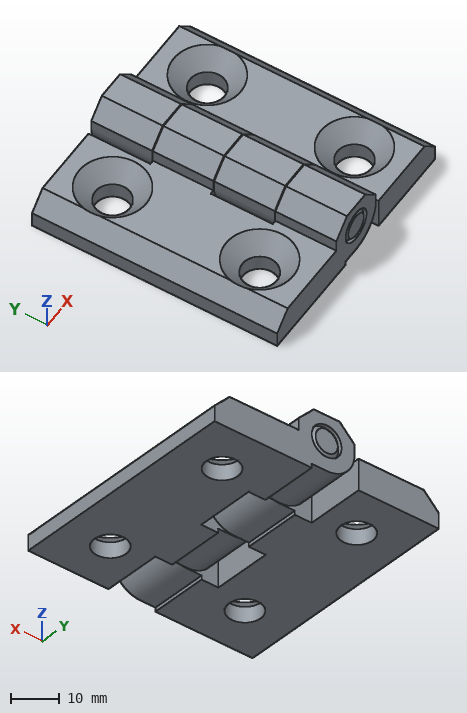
import cadquery as cq

side = 60.0
height = 15.0
half = side / 2

plate_height = 8.0
edge_chamfer = 4.0
plate_gap = 1.0

knuckle_radius = 7.5
relief_half_width = 4.0
relief_height = 1.0
axis_z = relief_height + knuckle_radius
plate_edge = knuckle_radius + plate_gap
pitch = side / 4
end_gap = 0.2

pin_diameter = 8.0
pin_chamfer = 1.0

hole_spacing = 36.0
hole_diameter = 8.4
sink_diameter = 16.45
sink_angle = 90.0


def plate():
    """Plate on the -X side, with a sloped outer edge."""
    return (
        cq.Workplane("XZ", origin=(0, half, 0))
        .moveTo(-half, 0)
        .lineTo(-plate_edge, 0)
        .lineTo(-plate_edge, plate_height)
        .lineTo(-half + edge_chamfer, plate_height)
        .lineTo(-half, plate_height - edge_chamfer)
        .close()
        .extrude(side)
    )


def knuckle(y_start, y_end):
    """Knuckle with a chamfered top, a round underside and a web to the plate."""
    shoulder_z = height - edge_chamfer
    top_half_width = knuckle_radius - edge_chamfer
    return (
        cq.Workplane("XZ", origin=(0, y_end, 0))
        .moveTo(-plate_edge, 0)
        .lineTo(-relief_half_width, 0)
        .lineTo(-relief_half_width, relief_height)
        .lineTo(0, relief_height)
        .radiusArc((knuckle_radius, axis_z), -knuckle_radius)
        .lineTo(knuckle_radius, shoulder_z)
        .lineTo(top_half_width, height)
        .lineTo(-top_half_width, height)
        .lineTo(-knuckle_radius, shoulder_z)
        .lineTo(-knuckle_radius, plate_height)
        .lineTo(-plate_edge, plate_height)
        .close()
        .extrude(y_end - y_start)
    )


def leaf():
    """Leaf on the -X side, with knuckles in the first and third of four places."""
    first_end = -pitch - end_gap / 2
    third_start = end_gap / 2
    third_end = pitch - end_gap / 2
    body = plate()
    for y_start, y_end in [(-half, first_end), (third_start, third_end)]:
        body = body.union(knuckle(y_start, y_end))
    return (
        body.copyWorkplane(cq.Workplane("XY", origin=(-hole_spacing / 2, 0, plate_height)))
        .rarray(0.6, hole_spacing, 1, 2)
        .cskHole(hole_diameter, sink_diameter, sink_angle)
    )


def axis_cylinder():
    """Full-length cylinder of the pin's diameter on the knuckle axis."""
    return cq.Workplane("XZ", origin=(0, half, axis_z)).circle(pin_diameter / 2).extrude(side)


def pin_leaf():
    """Leaf whose pin has chamfered ends flush with the outer knuckle faces."""
    pin = axis_cylinder().faces("<Y or >Y").chamfer(pin_chamfer)
    return leaf().cut(axis_cylinder()).union(pin)


def bored_leaf():
    """Same leaf turned half a turn about Z, bored for the pin."""
    return leaf().rotate((0, 0, 0), (0, 0, 1), 180).cut(axis_cylinder())


leaf_with_pin = pin_leaf()
leaf_with_bore = bored_leaf()

result = cq.Compound.makeCompound([leaf_with_pin.solids().val(), leaf_with_bore.solids().val()])